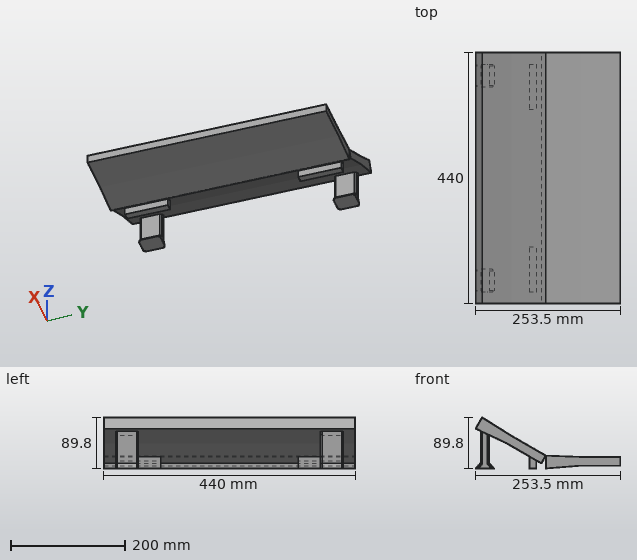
import cadquery as cq
import math

board_width = 440.0
board_length = 130.2
taper_length = 60.5
thick_end = 23.0
top_drop = 2.0
bottom_rise = 5.0
tilt = 30.0
overall_height = 89.8

leg_inset = 20.5
leg_width = 40.0
foot_length = 32.5
post_thickness = 15.0
foot_height = 9.5
leg_chamfer = 3.0

block_start = 94.0
block_thickness = 12.5
block_width = 79.0

sin_tilt = math.sin(math.radians(tilt))
cos_tilt = math.cos(math.radians(tilt))
high_corner_z = overall_height - thick_end * cos_tilt
seam_x = (thick_end - top_drop) * sin_tilt + board_length * cos_tilt
support_outer_y = board_width / 2 - leg_inset
crease_x = taper_length * cos_tilt + bottom_rise * sin_tilt
crease_z = high_corner_z - taper_length * sin_tilt + bottom_rise * cos_tilt
taper_slope = (crease_z - high_corner_z) / crease_x


def underside_z(x):
    """Height of the raised board's lower face at x."""
    if x < crease_x:
        return high_corner_z + taper_slope * x
    return crease_z - (x - crease_x) * sin_tilt / cos_tilt


def extrude_along_y(points, width):
    """Solid with an XZ outline, centred on Y = 0."""
    return cq.Workplane("XZ").polyline(points).close().extrude(width / 2, both=True)


def make_board():
    """Level board with its thick end at X = 0 and its lowest edge at Z = 0."""
    return extrude_along_y(
        [
            (0, 0),
            (taper_length, bottom_rise),
            (board_length, bottom_rise),
            (board_length, thick_end - top_drop),
            (taper_length, thick_end - top_drop),
            (0, thick_end),
        ],
        board_width,
    )


def make_leg(center_y):
    """Post on a flared foot, cut to the board's slope, with bevelled side edges."""
    post_left = (foot_length - post_thickness) / 2
    post_right = post_left + post_thickness
    leg = extrude_along_y(
        [
            (0, 0),
            (foot_length, 0),
            (post_right, foot_height),
            (post_right, underside_z(post_right)),
            (post_left, underside_z(post_left)),
            (post_left, foot_height),
        ],
        leg_width,
    )
    flank_edges = leg.faces("|Y").edges("not (<Z or >Z)")
    return flank_edges.chamfer(leg_chamfer).translate((0, center_y, 0))


def make_block(center_y):
    """Low block whose top follows the slope of the raised board."""
    block_end = block_start + block_thickness
    block = extrude_along_y(
        [
            (block_start, 0),
            (block_end, 0),
            (block_end, underside_z(block_end)),
            (block_start, underside_z(block_start)),
        ],
        block_width,
    )
    return block.translate((0, center_y, 0))


lower_board = make_board().translate((seam_x, 0, 0))
raised_board = make_board().rotate((0, 0, 0), (0, 1, 0), tilt).translate((0, 0, high_corner_z))

legs = []
blocks = []
for side in (-1, 1):
    legs.append(make_leg(side * (support_outer_y - leg_width / 2)))
    blocks.append(make_block(side * (support_outer_y - block_width / 2)))

result = cq.Compound.makeCompound(
    [body.solids().val() for body in (lower_board, raised_board, *legs, *blocks)]
)